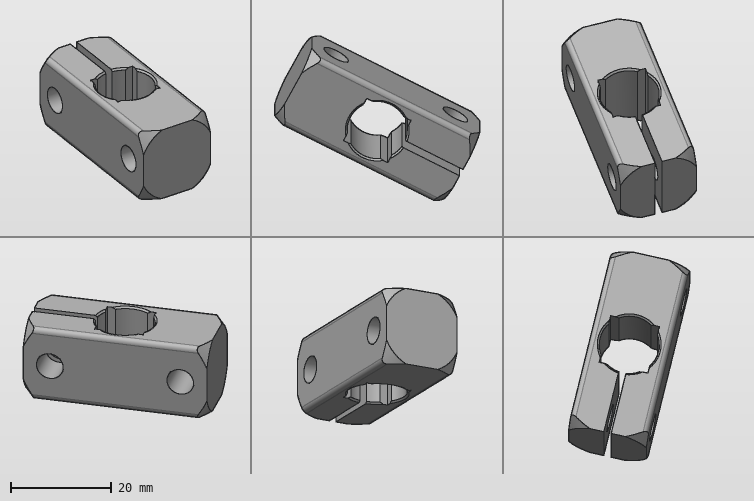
import cadquery as cq

length = 38.0
side = 16.0
edge_radius = 1.1
end_face_diameter = 17.55

bore_diameter = 12.0
bore_chamfer = 0.38
square_side = 10.0
slot_width = 1.5

screw_diameter = 5.5
screw_end_distance = 5.5


def turned_blank():
    """Round bar with 45 degree ends, so wide that only its ends trim the block corners."""
    blank_diameter = 2 * side
    end_chamfer = (blank_diameter - end_face_diameter) / 2
    return (
        cq.Workplane("YZ")
        .circle(blank_diameter / 2)
        .extrude(length / 2, both=True)
        .faces("<X or >X")
        .chamfer(end_chamfer)
    )


def block():
    bar = cq.Workplane("XY").box(length, side, side).edges("|X").fillet(edge_radius)
    return bar.intersect(turned_blank())


def bore():
    """Round bore that widens conically at both faces."""
    bore_radius = bore_diameter / 2
    mouth_radius = bore_radius + bore_chamfer
    top = side / 2
    return (
        cq.Workplane("XZ")
        .moveTo(0, -top)
        .lineTo(mouth_radius, -top)
        .lineTo(bore_radius, -top + bore_chamfer)
        .lineTo(bore_radius, top - bore_chamfer)
        .lineTo(mouth_radius, top)
        .lineTo(0, top)
        .close()
        .revolve(360, (0, 0, 0), (0, 1, 0))
    )


def square_socket():
    return cq.Workplane("XY").box(square_side, square_side, side)


def clamping_slot():
    """Slot from the -X end into the bore."""
    return cq.Workplane("XY").box(length / 2, slot_width, side).translate((-length / 4, 0, 0))


def screw_holes():
    screw_x = length / 2 - screw_end_distance
    return (
        cq.Workplane("XZ")
        .pushPoints([(-screw_x, 0), (screw_x, 0)])
        .circle(screw_diameter / 2)
        .extrude(side / 2, both=True)
    )


result = block()
for cutter in (bore(), square_socket(), clamping_slot(), screw_holes()):
    result = result.cut(cutter)